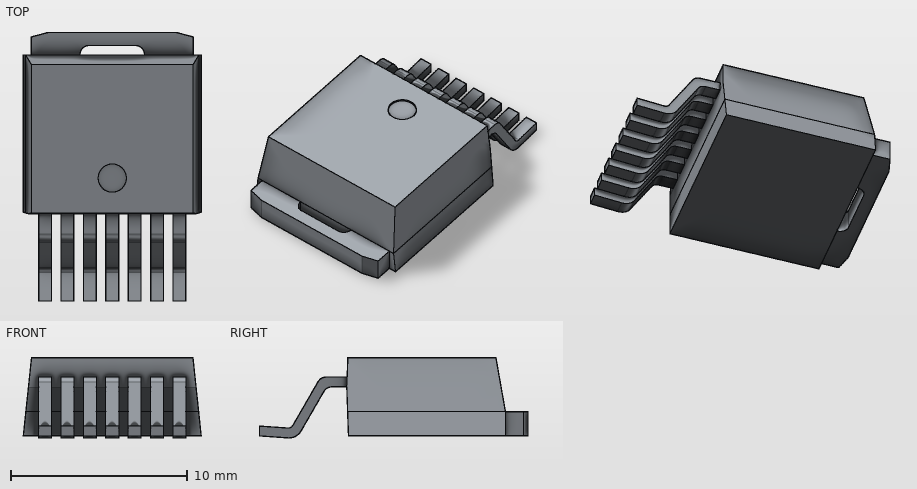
import cadquery as cq
import math



def run(rise, angle):
    """Horizontal shift of a face leaning `angle` degrees from vertical over `rise`."""
    return rise * math.tan(math.radians(angle))


OVERALL_LENGTH = 15.24

BODY_WIDTH = 10.10
BODY_HEIGHT = 4.44
BODY_REAR_Y = 9.01
BASE_HEIGHT = 1.37
PARTING_HEIGHT = 2.74
SIDE_DRAFT = 6.0
REAR_DRAFT = 10.0
FRONT_DRAFT = 2.0

RECESS_DIAMETER = 1.60
RECESS_DEPTH = 0.10
RECESS_Y = 2.03

TAB_WIDTH = 9.20
TAB_LENGTH = 1.28
TAB_CORNER_WIDTH = 0.95
TAB_CORNER_ANGLE = 15.0
TAB_SLOT_WIDTH = 3.64
TAB_SLOT_DEPTH = 0.53
TAB_SLOT_RADIUS = 0.50

LEAD_COUNT = 7
LEAD_PITCH = 1.27
LEAD_WIDTH = 0.74
LEAD_THICKNESS = 0.57
LEAD_TOP_HEIGHT = 3.34
KNEE_Y = -1.47
LEG_SLOPE = 60.0
FOOT_SLOPE = 4.0
TOE_TOP_HEIGHT = 0.56
SHOULDER_OUTER_RADIUS = 0.55
SHOULDER_INNER_RADIUS = 0.50
HEEL_OUTER_RADIUS = 0.80
HEEL_INNER_RADIUS = 0.30

TAB_REAR_Y = BODY_REAR_Y + TAB_LENGTH
LEAD_TIP_Y = TAB_REAR_Y - OVERALL_LENGTH


def front_face_y(height):
    """Y of the housing's front face, which leans back above and below the parting."""
    return run(abs(height - PARTING_HEIGHT), FRONT_DRAFT)


def extrude_across(points, width):
    """Solid of a (Y, Z) outline, centred on X = 0."""
    return cq.Workplane("YZ").polyline(points).close().extrude(width / 2, both=True)


def tapered_envelope():
    """Prism along Y whose leaning sides bound both housing layers."""
    half_bottom = BODY_WIDTH / 2
    half_top = half_bottom - run(BODY_HEIGHT, SIDE_DRAFT)
    section = [
        (-half_bottom, 0),
        (half_bottom, 0),
        (half_top, BODY_HEIGHT),
        (-half_top, BODY_HEIGHT),
    ]
    return cq.Workplane("XZ").polyline(section).close().extrude(-BODY_REAR_Y)


def make_lower_housing():
    side_outline = [
        (front_face_y(0), 0),
        (BODY_REAR_Y, 0),
        (BODY_REAR_Y, BASE_HEIGHT),
        (front_face_y(BASE_HEIGHT), BASE_HEIGHT),
    ]
    return extrude_across(side_outline, BODY_WIDTH).intersect(tapered_envelope())


def make_upper_housing():
    top_rear_y = BODY_REAR_Y - run(BODY_HEIGHT - BASE_HEIGHT, REAR_DRAFT)
    side_outline = [
        (front_face_y(BASE_HEIGHT), BASE_HEIGHT),
        (BODY_REAR_Y, BASE_HEIGHT),
        (top_rear_y, BODY_HEIGHT),
        (front_face_y(BODY_HEIGHT), BODY_HEIGHT),
        (front_face_y(PARTING_HEIGHT), PARTING_HEIGHT),
    ]
    body = extrude_across(side_outline, BODY_WIDTH).intersect(tapered_envelope())
    recess = (
        cq.Workplane("XY", origin=(0, RECESS_Y, BODY_HEIGHT))
        .circle(RECESS_DIAMETER / 2)
        .extrude(-RECESS_DEPTH)
    )
    return body.cut(recess)


def make_tab():
    """Plate butted against the lower housing, with a rounded notch at the joint."""
    half_width = TAB_WIDTH / 2
    half_rear = half_width - TAB_CORNER_WIDTH
    corner_y = TAB_REAR_Y - run(TAB_CORNER_WIDTH, TAB_CORNER_ANGLE)
    outline = [
        (-half_width, BODY_REAR_Y),
        (half_width, BODY_REAR_Y),
        (half_width, corner_y),
        (half_rear, TAB_REAR_Y),
        (-half_rear, TAB_REAR_Y),
        (-half_width, corner_y),
    ]
    plate = cq.Workplane("XY").polyline(outline).close().extrude(BASE_HEIGHT)
    slot = (
        cq.Workplane("XY", origin=(0, BODY_REAR_Y + TAB_SLOT_DEPTH / 2, 0))
        .rect(TAB_SLOT_WIDTH, TAB_SLOT_DEPTH)
        .extrude(BASE_HEIGHT)
        .edges("|Z and >Y")
        .fillet(TAB_SLOT_RADIUS)
    )
    return plate.cut(slot)


def bend_shift(turn_angle):
    """Distance along a straight from the outer corner of a bend to its inner one."""
    return LEAD_THICKNESS * math.tan(math.radians(turn_angle / 2))


def make_lead(x):
    """Bent strip: level shoulder, steep leg and a slightly raised foot."""
    leg = math.radians(LEG_SLOPE)
    foot = math.radians(FOOT_SLOPE)
    lower_height = LEAD_TOP_HEIGHT - LEAD_THICKNESS

    reach = KNEE_Y - LEAD_TIP_Y
    toe_drop = LEAD_TOP_HEIGHT - TOE_TOP_HEIGHT
    leg_reach = (toe_drop + reach * math.tan(foot)) / (math.tan(leg) + math.tan(foot))
    heel_y = KNEE_Y - leg_reach
    heel_height = LEAD_TOP_HEIGHT - leg_reach * math.tan(leg)

    knee_under_y = KNEE_Y + bend_shift(LEG_SLOPE)
    heel_shift = bend_shift(LEG_SLOPE + FOOT_SLOPE)
    heel_under_y = heel_y - LEAD_THICKNESS * math.sin(foot) + heel_shift * math.cos(foot)
    heel_under_height = heel_height - LEAD_THICKNESS * math.cos(foot) - heel_shift * math.sin(foot)
    toe_under_height = TOE_TOP_HEIGHT - LEAD_THICKNESS / math.cos(foot)

    outline = [
        (front_face_y(LEAD_TOP_HEIGHT), LEAD_TOP_HEIGHT),
        (KNEE_Y, LEAD_TOP_HEIGHT),
        (heel_y, heel_height),
        (LEAD_TIP_Y, TOE_TOP_HEIGHT),
        (LEAD_TIP_Y, toe_under_height),
        (heel_under_y, heel_under_height),
        (knee_under_y, lower_height),
        (front_face_y(lower_height), lower_height),
    ]
    strip = extrude_across(outline, LEAD_WIDTH)
    bends = [
        (KNEE_Y, LEAD_TOP_HEIGHT, SHOULDER_OUTER_RADIUS),
        (knee_under_y, lower_height, SHOULDER_INNER_RADIUS),
        (heel_y, heel_height, HEEL_INNER_RADIUS),
        (heel_under_y, heel_under_height, HEEL_OUTER_RADIUS),
    ]
    for bend_y, bend_height, radius in bends:
        corner = cq.selectors.NearestToPointSelector((0, bend_y, bend_height))
        strip = strip.edges("|X").edges(corner).fillet(radius)
    return strip.translate((x, 0, 0))


lower_housing = make_lower_housing()
upper_housing = make_upper_housing()
tab = make_tab()

leads = []
for index in range(LEAD_COUNT):
    lead_x = (index - (LEAD_COUNT - 1) / 2) * LEAD_PITCH
    leads.append(make_lead(lead_x).val())

result = cq.Compound.makeCompound([lower_housing.val(), upper_housing.val(), tab.val(), *leads])